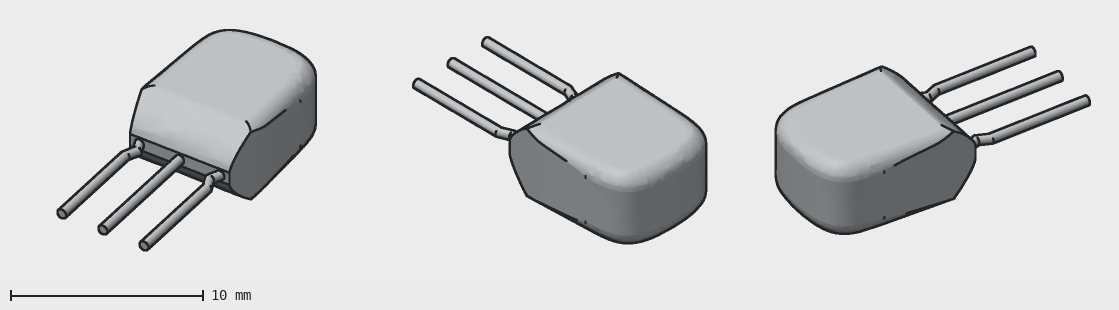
import cadquery as cq
import math


total_length = 16.52
case_width = 7.1
case_height = 4.8
lead_reach = 7.3
case_length = total_length - lead_reach
half_width = case_width / 2
half_height = case_height / 2

dome_start = 6.01
dome_crown_pull = 3.34
dome_side_pull = 1.98
flank_splay = 0.045
edge_radius = 0.99

bend_start = 2.9
bend_end = 1.92
taper_angle = math.radians(11)

nose_start = 2.0
lead_face_height = 0.8
nose_top_handle = (1.7, half_height)
nose_tip_handle = (0.15, 1.15)

lead_diameter = 0.56
lead_pitch = 2.55
root_offset = 2.5
kink_offset = 2.25
kink_depth = 0.6
crimp_length = 1.29


def mirrored_x(points):
    return [(-x, y) for x, y in points]


def mirrored_z(points):
    return [(y, -z) for y, z in points]


def make_blank():
    """Slab with a domed back and slightly splayed flanks, rounded along its top and bottom rims."""
    crown = (0, case_length)
    shoulder = (half_width, dome_start)
    dome_curve = [
        crown,
        (dome_crown_pull, case_length),
        (half_width - flank_splay * dome_side_pull, dome_start + dome_side_pull),
        shoulder,
    ]
    front_corner = (half_width + flank_splay * dome_start, 0)
    return (
        cq.Workplane("XY")
        .workplane(offset=-half_height)
        .moveTo(*crown)
        .bezier(dome_curve)
        .lineTo(*front_corner)
        .lineTo(-front_corner[0], 0)
        .lineTo(-half_width, dome_start)
        .bezier(mirrored_x(dome_curve[::-1]))
        .close()
        .extrude(case_height)
        .faces("|Z")
        .edges("not(<Y)")
        .fillet(edge_radius)
    )


def make_flank_envelope():
    """Straight flanks that bend smoothly inward to a taper at the lead face."""
    bend_radius = (bend_start - bend_end) / math.sin(taper_angle)

    def bend_point(angle):
        x = half_width - bend_radius * (1 - math.cos(angle))
        y = bend_start - bend_radius * math.sin(angle)
        return (x, y)

    bend_middle = bend_point(taper_angle / 2)
    bend_tip = bend_point(taper_angle)
    front_half_width = bend_tip[0] - bend_end * math.tan(taper_angle)
    return (
        cq.Workplane("XY")
        .workplane(offset=-half_height)
        .moveTo(-front_half_width, 0)
        .lineTo(front_half_width, 0)
        .lineTo(*bend_tip)
        .threePointArc(bend_middle, (half_width, bend_start))
        .lineTo(half_width, case_length)
        .lineTo(-half_width, case_length)
        .lineTo(-half_width, bend_start)
        .threePointArc(*mirrored_x([bend_middle, bend_tip]))
        .close()
        .extrude(case_height)
    )


def make_nose_envelope():
    """Side profile, full height at the back and curving down to the narrow lead face."""
    nose_curve = [
        (nose_start, half_height),
        nose_top_handle,
        nose_tip_handle,
        (0, lead_face_height / 2),
    ]
    return (
        cq.Workplane("YZ")
        .workplane(offset=-half_width)
        .moveTo(case_length, half_height)
        .lineTo(nose_start, half_height)
        .bezier(nose_curve)
        .lineTo(0, -lead_face_height / 2)
        .bezier(mirrored_z(nose_curve[::-1]))
        .lineTo(case_length, -half_height)
        .close()
        .extrude(case_width)
    )


def make_case():
    return make_blank().intersect(make_flank_envelope()).intersect(make_nose_envelope())


def lead_section(x, depth):
    """Round lead outline at a given distance in front of the lead face."""
    return cq.Wire.makeCircle(lead_diameter / 2, cq.Vector(x, -depth, 0), cq.Vector(0, -1, 0))


def make_straight_lead():
    return cq.Workplane("XZ").circle(lead_diameter / 2).extrude(lead_reach)


def make_kinked_lead(side):
    """Outer lead: slants inward, back outward, then runs straight at the lead pitch."""
    stations = [
        (root_offset, 0),
        (kink_offset, kink_depth),
        (lead_pitch, crimp_length),
        (lead_pitch, lead_reach),
    ]
    sections = [lead_section(side * x, depth) for x, depth in stations]
    return cq.Workplane(cq.Solid.makeLoft(sections, True))


case = make_case()
middle_lead = make_straight_lead()
outer_leads = [make_kinked_lead(side) for side in (-1, 1)]

result = cq.Compound.makeCompound(
    [case.val(), middle_lead.val(), *[lead.val() for lead in outer_leads]]
)